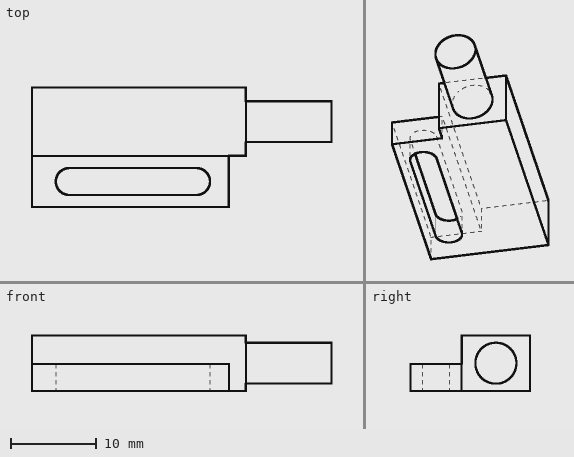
import cadquery as cq

overall_length = 35.0
overall_width = 14.0
body_length = 25.0
body_width = 8.0
body_height = 6.5

flange_length = 23.0
flange_width = overall_width - body_width
flange_height = 3.2

slot_length = 18.0
slot_width = 3.1
slot_start = 2.8

cable_diameter = 4.8
cable_length = overall_length - body_length


def make_body():
    """Rectangular sensor body, with its lower -X edge on the Y axis."""
    return (
        cq.Workplane("XY")
        .box(body_length, body_width, body_height, centered=False)
        .translate((0, flange_width, 0))
    )


def make_flange():
    """Low flange, flush with the -X end and the underside of the body."""
    return cq.Workplane("XY").box(flange_length, flange_width, flange_height, centered=False)


def make_slot():
    """Round-ended cutter, centred across the flange width."""
    return (
        cq.Workplane("XY")
        .center(slot_start + slot_length / 2, flange_width / 2)
        .slot2D(slot_length, slot_width)
        .extrude(flange_height)
    )


def make_cable():
    """Round cable, centred on the end face of the body."""
    return (
        cq.Workplane("YZ", origin=(body_length, flange_width + body_width / 2, body_height / 2))
        .circle(cable_diameter / 2)
        .extrude(cable_length)
    )


result = make_body().union(make_flange()).cut(make_slot()).union(make_cable())